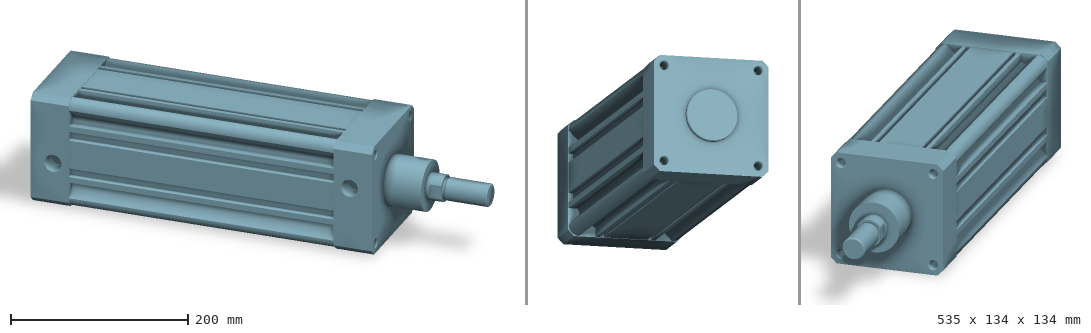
import cadquery as cq
import math


side = 134.0
half_side = side / 2
cap_length = 46.0
cap_chamfer = 7.0
boss_diameter = 60.0
rear_boss_length = 5.0
rear_boss_chamfer = 1.0
front_collar_length = 45.0

screw_pitch = 110.0
screw_core_diameter = 9.5
screw_mouth_diameter = 12.0
screw_countersink_angle = 90.0
screw_depth = 24.0

port_diameter = 19.5
port_mouth_chamfer = 0.7
port_chamfer_angle = 45.0
port_depth = 20.0
port_setback = 27.0
port_offset = 14.0

barrel_length = 320.0
lobe_radius = 12.0
barrel_side = 133.0
barrel_half = barrel_side / 2
lobe_edge = barrel_half - lobe_radius
valley_outer = 43.0
valley_radius = 4.0
valley_outer_slope = math.radians(45)
valley_inner_slope = math.radians(30)
valley_wall = 35.0
slot_depth = 5.0
wide_slot = (28.2, 17.3, 0.9)
narrow_slot = (30.2, 25.3, 0.0)

rod_diameter = 32.0
wrench_diameter = 31.7
rod_length = 73.0
wrench_taper_start = 2.8
flat_start = 4.2
flat_end = 18.8
flat_width = 27.0
undercut_diameter = 24.5
undercut_length = 2.5
thread_diameter = 27.0
thread_chamfer = 1.5

barrel_start = cap_length
front_cap_start = barrel_start + barrel_length
front_cap_end = front_cap_start + cap_length
collar_end = front_cap_end + front_collar_length


def cylinder(x_start, length, diameter):
    return cq.Workplane("YZ", origin=(x_start, 0, 0)).circle(diameter / 2).extrude(length)


def cap_block(x_start):
    block = cq.Workplane("YZ", origin=(x_start, 0, 0)).rect(side, side).extrude(cap_length)
    return block.edges("|X").chamfer(cap_chamfer)


def cut_screw_holes(cap, selector):
    """Countersunk screw holes in the four corners of the selected end face."""
    return (
        cap.faces(selector).workplane(centerOption="CenterOfBoundBox")
        .rect(screw_pitch, screw_pitch, forConstruction=True).vertices()
        .cskHole(screw_core_diameter, screw_mouth_diameter, screw_countersink_angle, screw_depth)
    )


def cut_port(cap, x, z):
    """Blind air port with a chamfered mouth in the -Y face."""
    mouth = cq.Workplane("XZ", origin=(x, -half_side, z))
    bore = mouth.circle(port_diameter / 2).extrude(-port_depth)
    countersink = (
        mouth.circle(port_diameter / 2 + port_mouth_chamfer)
        .extrude(-port_mouth_chamfer, taper=port_chamfer_angle)
    )
    return cap.cut(bore).cut(countersink)


def make_rear_cap():
    cap = cut_screw_holes(cap_block(0), "<X")
    cap = cut_port(cap, port_setback, -port_offset)
    boss = cylinder(-rear_boss_length, rear_boss_length, boss_diameter)
    return cap.union(boss.faces("<X").chamfer(rear_boss_chamfer))


def make_front_cap():
    cap = cut_screw_holes(cap_block(front_cap_start), ">X")
    cap = cut_port(cap, front_cap_end - port_setback, port_offset)
    return cap.union(cylinder(front_cap_end, front_collar_length, boss_diameter))


def half_side_cutter(slot):
    """Material removed from one half (t > 0) of a barrel side."""
    slot_outer, slot_inner, taper = slot
    slot_floor = barrel_half - slot_depth
    arc_start_n = barrel_half - (lobe_edge - valley_outer) * math.tan(valley_outer_slope)
    center_t = valley_outer - valley_radius * math.sin(valley_outer_slope)
    center_n = arc_start_n + valley_radius * math.cos(valley_outer_slope)
    arc_end_t = center_t - valley_radius * math.sin(valley_inner_slope)
    arc_end_n = center_n - valley_radius * math.cos(valley_inner_slope)
    step_foot = arc_end_n + (arc_end_t - valley_wall) * math.tan(valley_inner_slope)
    valley = (
        cq.Workplane("YZ", origin=(barrel_start, 0, 0))
        .moveTo(lobe_edge, barrel_half)
        .lineTo(valley_outer, arc_start_n)
        .threePointArc((center_t, center_n - valley_radius), (arc_end_t, arc_end_n))
        .lineTo(valley_wall, step_foot)
        .lineTo(valley_wall, barrel_half)
        .close().extrude(barrel_length)
    )
    slot_points = [
        (slot_outer, barrel_half),
        (slot_outer - taper, slot_floor),
        (slot_inner + taper, slot_floor),
        (slot_inner, barrel_half),
    ]
    slot_cut = (
        cq.Workplane("YZ", origin=(barrel_start, 0, 0))
        .polyline(slot_points).close().extrude(barrel_length)
    )
    return valley.add(slot_cut).combine()


def make_barrel():
    barrel = (
        cq.Workplane("YZ", origin=(barrel_start, 0, 0))
        .rect(barrel_side, barrel_side).extrude(barrel_length)
        .edges("|X").fillet(lobe_radius)
    )
    for index, slot in enumerate((narrow_slot, wide_slot, narrow_slot, wide_slot)):
        angle = 90 * index
        half_cutter = half_side_cutter(slot)
        for cutter in (half_cutter, half_cutter.mirror("XZ")):
            barrel = barrel.cut(cutter.rotate((0, 0, 0), (1, 0, 0), angle))
    return barrel


def make_rod():
    undercut_end = flat_end + undercut_length
    rod_profile = [
        (0, 0),
        (0, rod_diameter / 2),
        (wrench_taper_start, rod_diameter / 2),
        (flat_start, wrench_diameter / 2),
        (flat_end, wrench_diameter / 2),
        (flat_end, 0),
    ]
    rod = (
        cq.Workplane("XY", origin=(collar_end, 0, 0))
        .polyline(rod_profile).close().revolve(360, (0, 0, 0), (1, 0, 0))
    )
    flat_length = flat_end - flat_start
    cut_depth = (rod_diameter - flat_width) / 2
    for direction in (-1, 1):
        flat_cutter = cq.Workplane("XY").box(flat_length, cut_depth, rod_diameter).translate(
            (collar_end + (flat_start + flat_end) / 2, direction * (flat_width + cut_depth) / 2, 0)
        )
        rod = rod.cut(flat_cutter)
    rod = rod.union(cylinder(collar_end + flat_end, undercut_length, undercut_diameter))
    thread = cylinder(collar_end + undercut_end, rod_length - undercut_end, thread_diameter)
    return rod.union(thread.edges("%CIRCLE").chamfer(thread_chamfer))


rear_cap = make_rear_cap()
front_cap = make_front_cap()
barrel = make_barrel()
rod = make_rod()

result = cq.Compound.makeCompound([rear_cap.val(), front_cap.val(), barrel.val(), rod.val()])